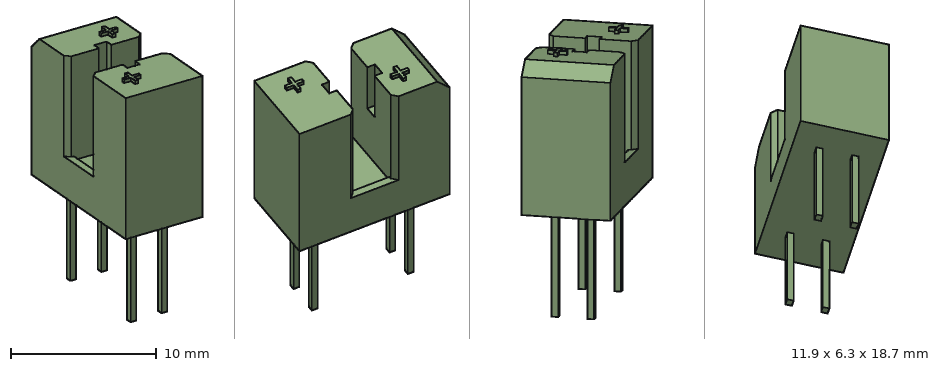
import cadquery as cq

width = 11.9
depth = 6.3
mark_height = 0.26
total_height = 18.7
pin_length = 7.61
housing_height = total_height - pin_length - mark_height
corner_chamfer = 1.01

slot_width = 3.0
slot_floor = 3.1
slot_edge_chamfer = 0.4
slot_depth = housing_height - slot_floor

recess_depth = 0.3
recess_length = 5.12

groove_depth = 0.6
groove_width = 1.01
groove_length = 3.8

cross_span = 1.35
cross_bar = 0.26
cross_places = [(-3.05, 1.29), (3.81, -1.29)]

pin_size = 0.47
pin_spacing_x = 7.6
pin_spacing_y = 2.55


def make_block():
    """Housing block with its bottom at Z = 0 and one chamfered top edge."""
    block = cq.Workplane("XY").box(width, depth, housing_height, centered=(True, True, False))
    return block.faces("<X").edges(">Z").chamfer(corner_chamfer)


def make_slot():
    """Open slot along Y that flares at both ends."""
    half_width = slot_width / 2
    half_mouth = half_width + slot_edge_chamfer
    half_depth = depth / 2
    flare_start = half_depth - slot_edge_chamfer
    outline = [
        (-half_mouth, -half_depth),
        (half_mouth, -half_depth),
        (half_width, -flare_start),
        (half_width, flare_start),
        (half_mouth, half_depth),
        (-half_mouth, half_depth),
        (-half_width, flare_start),
        (-half_width, -flare_start),
    ]
    return cq.Workplane("XY", origin=(0, 0, slot_floor)).polyline(outline).close().extrude(slot_depth)


def make_floor_recess():
    """Rectangular recess as wide as the slot floor."""
    return (
        cq.Workplane("XY", origin=(0, 0, slot_floor))
        .rect(slot_width, recess_length)
        .extrude(-recess_depth)
    )


def make_grooves():
    """Bar across the slot that cuts one groove into each slot wall."""
    return (
        cq.Workplane("XY", origin=(0, 0, housing_height - groove_length))
        .rect(slot_width + 2 * groove_depth, groove_width)
        .extrude(groove_length)
    )


def make_crosses():
    """Raised plus signs, one on each arm."""
    top = cq.Workplane("XY", origin=(0, 0, housing_height)).pushPoints(cross_places)
    along_x = top.rect(cross_span, cross_bar).extrude(mark_height)
    along_y = top.rect(cross_bar, cross_span).extrude(mark_height)
    return along_x.union(along_y)


def make_pin(x, y):
    """Straight pin that hangs down from the housing bottom."""
    return cq.Workplane("XY", origin=(x, y, 0)).rect(pin_size, pin_size).extrude(-pin_length)


housing = (
    make_block()
    .cut(make_slot())
    .cut(make_floor_recess())
    .cut(make_grooves())
    .union(make_crosses())
)

pins = []
for side_x in (-1, 1):
    for side_y in (-1, 1):
        pins.append(make_pin(side_x * pin_spacing_x / 2, side_y * pin_spacing_y / 2).val())

result = cq.Compound.makeCompound([housing.val(), *pins])